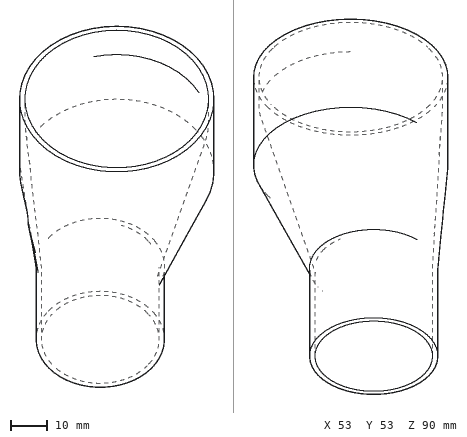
import cadquery as cq

total_height = 90
large_outer_diameter = 53.0
large_inner_diameter = 50.0
small_outer_diameter = 35.0
small_inner_diameter = 32.0

section_height = total_height / 3
small_pipe_y = -(large_outer_diameter - small_outer_diameter) / 2

socket_depth = 10.0


def reducer_body(small_diameter, large_diameter, transition_bottom, transition_top):
    """Solid of two vertical cylinders joined by a slanted conical transition."""
    small_pipe = (
        cq.Workplane("XY")
        .center(0, small_pipe_y)
        .circle(small_diameter / 2)
        .extrude(transition_bottom)
    )
    transition = (
        cq.Workplane("XY", origin=(0, small_pipe_y, transition_bottom))
        .circle(small_diameter / 2)
        .workplane(offset=transition_top - transition_bottom)
        .center(0, -small_pipe_y)
        .circle(large_diameter / 2)
        .loft(ruled=True)
    )
    large_pipe = (
        cq.Workplane("XY", origin=(0, 0, transition_top))
        .circle(large_diameter / 2)
        .extrude(total_height - transition_top)
    )
    return small_pipe.union(transition).union(large_pipe)


outside = reducer_body(
    small_outer_diameter,
    large_outer_diameter,
    transition_bottom=section_height,
    transition_top=total_height - section_height,
)
bore = reducer_body(
    small_inner_diameter,
    large_inner_diameter,
    transition_bottom=section_height,
    transition_top=total_height - socket_depth,
)

result = outside.cut(bore)